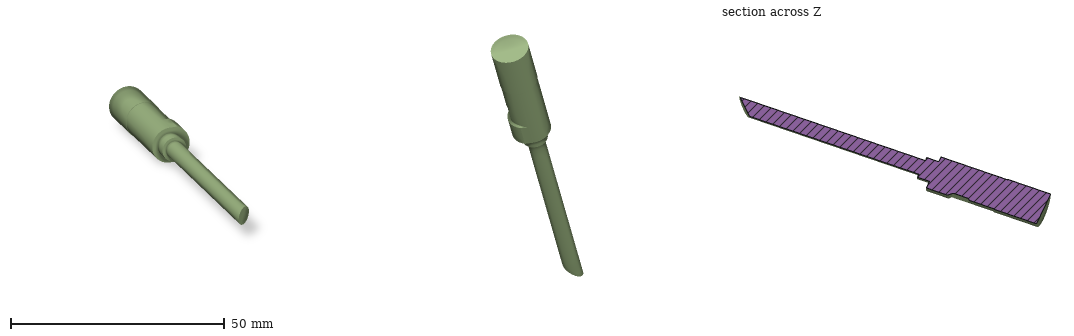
import cadquery as cq
import math

total_length = 77.8
rear_diameter = 9.0
rear_length = 10.9
barrel_diameter = 8.8
barrel_end = 27.8
collar_diameter = 6.0
collar_end = 30.8
pin_diameter = 4.2

key_reach = 5.0
key_radius = 4.7
key_start = 22.3
key_half_height = barrel_diameter / 2
key_ramp_length = 1.2
key_ramp_angle = 45.0

relief_start = 17.1
relief_floor = 4.0


def cylinder(start, end, diameter):
    """Round section of the body between two places along X."""
    return cq.Workplane("YZ", origin=(start, 0, 0)).circle(diameter / 2).extrude(end - start)


def key_section(direction):
    """Key outline with flat top and bottom, drawn at the rear plane facing +X (1) or -X (-1)."""
    corner_y = key_reach - key_radius + math.sqrt(key_radius**2 - key_half_height**2)
    plane = cq.Plane(origin=(key_start, 0, 0), xDir=(0, direction, 0), normal=(direction, 0, 0))
    return (
        cq.Workplane(plane)
        .moveTo(0, -key_half_height)
        .lineTo(direction * corner_y, -key_half_height)
        .threePointArc((direction * key_reach, 0), (direction * corner_y, key_half_height))
        .lineTo(0, key_half_height)
        .close()
    )


def make_key():
    """Straight key with a ramp that narrows on all sides toward the rear."""
    straight = key_section(1).extrude(barrel_end - key_start)
    ramp = key_section(-1).extrude(key_ramp_length, taper=key_ramp_angle)
    return straight.union(ramp)


def relief_cutter():
    """Flat relief with a 45 degree rear wall, cut across the +Y side."""
    depth = barrel_diameter / 2 - relief_floor
    outside = rear_diameter / 2
    return (
        cq.Workplane("XY")
        .moveTo(relief_start + depth, relief_floor)
        .lineTo(key_start, relief_floor)
        .lineTo(key_start, outside)
        .lineTo(relief_start + relief_floor + depth - outside, outside)
        .close()
        .extrude(barrel_diameter / 2, both=True)
    )


def tip_cutter():
    """45 degree bevel that leaves the point of the pin on its -Y side."""
    radius = pin_diameter / 2
    return (
        cq.Workplane("XY")
        .moveTo(total_length, -radius)
        .lineTo(total_length, radius)
        .lineTo(total_length - pin_diameter, radius)
        .close()
        .extrude(pin_diameter, both=True)
    )


barrel = cylinder(rear_length, barrel_end, barrel_diameter).cut(relief_cutter()).union(make_key())
pin = cylinder(collar_end, total_length, pin_diameter).cut(tip_cutter())

result = (
    cylinder(0, rear_length, rear_diameter)
    .union(barrel)
    .union(cylinder(barrel_end, collar_end, collar_diameter))
    .union(pin)
)